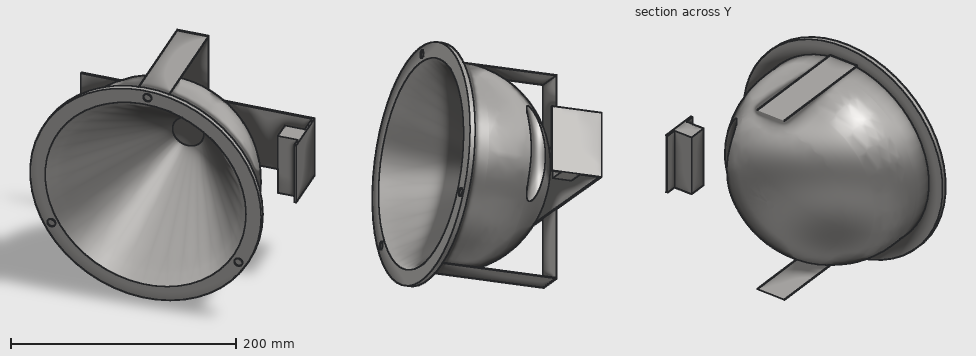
import cadquery as cq
import math


FLANGE_RADIUS = 109.0
FLANGE_THICKNESS = 5.0
SHELL_RADIUS = 94.0
DOME_START = 25.0
DOME_ARC_RADIUS = 90.0
DOME_TOP = DOME_START + DOME_ARC_RADIUS
DOME_FLAT_RADIUS = SHELL_RADIUS - DOME_ARC_RADIUS

BOWL_RIM_RADIUS = 94.7
BOWL_FLOOR_RADIUS = 14.7
BOWL_DEPTH = 110.0

SCREW_COUNT = 3
SCREW_RADIUS = 3.8
SCREW_DEPTH = 1.0
SCREW_CIRCLE_RADIUS = (FLANGE_RADIUS + BOWL_RIM_RADIUS) / 2
SCREW_FIRST_ANGLE = 89.1

NOTCH_X = 76.2
NOTCH_Y = 85.0
NOTCH_RADIUS = 14.7

BRACKET_BACK = 125.0
YOKE_WIDTH = 29.6
YOKE_THICKNESS = 0.78
YOKE_CENTER_X = -1.0
ARM_LEFT = -106.1
ARM_RIGHT = 114.0
ARM_HEIGHT = 60.0
ARM_THICKNESS = 2.0
TAB_LENGTH = 48.0
BLOCK_REACH = 18.7
BLOCK_WIDTH = 18.3
BLOCK_SETBACK = 20.3


def box_between(x_range, y_range, z_range):
    """Axis-aligned box spanning the given (low, high) ranges."""
    size = [high - low for low, high in (x_range, y_range, z_range)]
    corner = (x_range[0], y_range[0], z_range[0])
    return cq.Workplane("XY").box(*size, centered=False).translate(corner)


def housing_blank():
    """Flange, straight shell, dome and bowl as one revolved profile."""
    diagonal = DOME_ARC_RADIUS * math.sqrt(0.5)
    return (
        cq.Workplane("XY")
        .moveTo(BOWL_RIM_RADIUS, 0)
        .lineTo(FLANGE_RADIUS, 0)
        .lineTo(FLANGE_RADIUS, FLANGE_THICKNESS)
        .lineTo(SHELL_RADIUS, FLANGE_THICKNESS)
        .lineTo(SHELL_RADIUS, DOME_START)
        .threePointArc(
            (DOME_FLAT_RADIUS + diagonal, DOME_START + diagonal),
            (DOME_FLAT_RADIUS, DOME_TOP),
        )
        .lineTo(0, DOME_TOP)
        .lineTo(0, BOWL_DEPTH)
        .lineTo(BOWL_FLOOR_RADIUS, BOWL_DEPTH)
        .close()
        .revolve(360, (0, 0), (0, 1))
    )


def screw_recesses():
    """Short cylinders reaching from the rim face into the flange."""
    return (
        cq.Workplane("XZ")
        .polarArray(SCREW_CIRCLE_RADIUS, SCREW_FIRST_ANGLE, 360, SCREW_COUNT)
        .circle(SCREW_RADIUS)
        .extrude(-SCREW_DEPTH)
    )


def dome_notch():
    return (
        cq.Workplane("XY")
        .center(NOTCH_X, NOTCH_Y)
        .circle(NOTCH_RADIUS)
        .extrude(SHELL_RADIUS, both=True)
    )


def make_housing():
    return housing_blank().cut(screw_recesses()).cut(dome_notch())


def make_yoke():
    """U-shaped strip: legs touch the shell above and below and end on the flange."""
    inner = SHELL_RADIUS
    outer = inner + YOKE_THICKNESS
    across = (YOKE_CENTER_X - YOKE_WIDTH / 2, YOKE_CENTER_X + YOKE_WIDTH / 2)
    strip = box_between(across, (FLANGE_THICKNESS, BRACKET_BACK), (-outer, outer))
    opening = box_between(across, (FLANGE_THICKNESS, BRACKET_BACK - YOKE_THICKNESS), (-inner, inner))
    return strip.cut(opening)


def make_arm():
    """Flat bar bent forward at +X into a tab that carries a block on its inner face."""
    height = (-ARM_HEIGHT / 2, ARM_HEIGHT / 2)
    tab_inner = ARM_RIGHT - ARM_THICKNESS
    block_back = BRACKET_BACK - BLOCK_SETBACK
    bar = box_between((ARM_LEFT, ARM_RIGHT), (BRACKET_BACK - ARM_THICKNESS, BRACKET_BACK), height)
    tab = box_between((tab_inner, ARM_RIGHT), (BRACKET_BACK - TAB_LENGTH, BRACKET_BACK), height)
    block = box_between((tab_inner - BLOCK_REACH, tab_inner), (block_back - BLOCK_WIDTH, block_back), height)
    return bar.union(tab).union(block)


def make_bracket():
    return make_yoke().union(make_arm())


housing = make_housing()
bracket = make_bracket()

result = cq.Compound.makeCompound([housing.val(), bracket.val()])